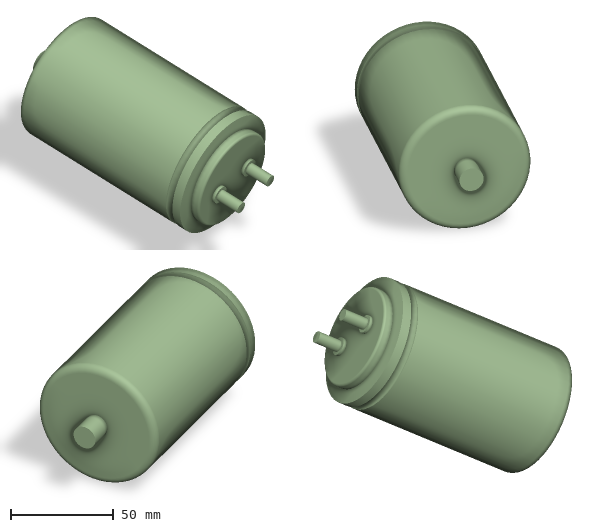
import cadquery as cq

can_radius = 65.5 / 2
stud_radius = 12.0 / 2
disc_radius = 25.8

can_start = 12.3
groove_start = 105.5
groove_radius = 2.0
rim_start = groove_start + 2 * groove_radius
rim_end = 114.3
disc_start = 115.5
disc_end = 120.4
collar_end = 122.0
pin_end = 135.0

can_fillet = 3.6
disc_fillet = 1.2

pin_radius = 3.0
collar_radius = 4.6
pin_spacing = 22.3


def make_body():
    """Can with semicircular crimp groove, conical end and disc, revolved about X."""
    groove_bottom = (groove_start + groove_radius, can_radius - groove_radius)
    outline = (
        cq.Workplane("XY")
        .moveTo(can_start, 0)
        .lineTo(can_start, can_radius - can_fillet)
        .radiusArc((can_start + can_fillet, can_radius), can_fillet)
        .lineTo(groove_start, can_radius)
        .threePointArc(groove_bottom, (rim_start, can_radius))
        .lineTo(rim_end, can_radius)
        .lineTo(disc_start, disc_radius)
        .lineTo(disc_end - disc_fillet, disc_radius)
        .radiusArc((disc_end, disc_radius - disc_fillet), disc_fillet)
        .lineTo(disc_end, 0)
        .close()
    )
    return outline.revolve(360, (0, 0, 0), (1, 0, 0))


def make_rod(start, end, radius, y=0):
    """Solid cylinder parallel to X between two stations."""
    return cq.Workplane("YZ", origin=(start, y, 0)).circle(radius).extrude(end - start)


result = make_body().union(make_rod(0, can_start, stud_radius))

for side in (-1, 1):
    pin_y = side * pin_spacing / 2
    result = result.union(make_rod(disc_end, collar_end, collar_radius, pin_y))
    result = result.union(make_rod(collar_end, pin_end, pin_radius, pin_y))